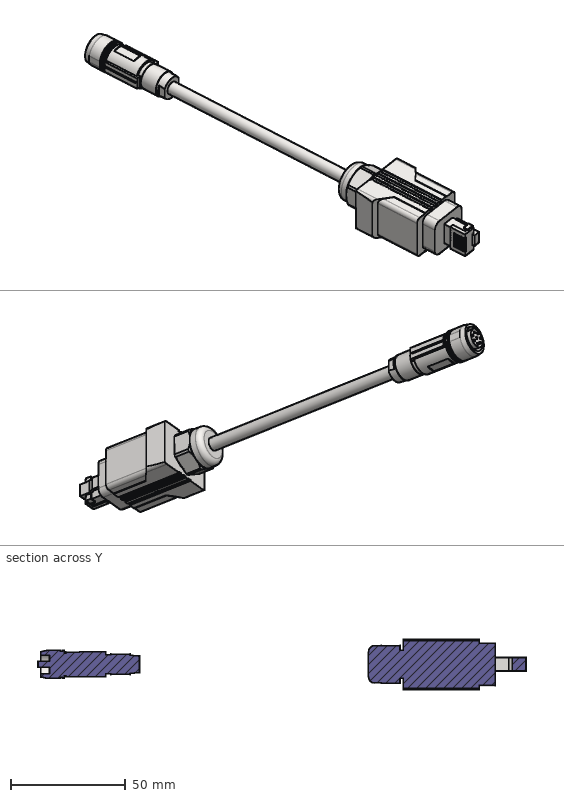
import cadquery as cq
import math

OVERLAP = 0.5

NOSE_RADIUS = 4.3
NOSE_LENGTH = 1.2
NOSE_GAP_RADIUS = 5.65
NOSE_GAP_END = 5.0
RING_START_RADIUS = 6.9
RING_RADIUS = 7.4
RING_TAPER_END = 3.8
RING_END = 9.8
RING_FLAT_OFFSET = 7.2
RING_FLAT_START = RING_TAPER_END
RING_FLAT_END = RING_END
RING_GROOVE_RADIUS = 7.1
SHOULDER_START = 10.7
SHOULDER_END = 11.6
GAP_RADIUS = 6.5
SLEEVE_START = 12.3
SLEEVE_END = 29.7
SLEEVE_RADIUS = 6.85
NECK_RADIUS = 5.9
COLLAR_START = 31.9
COLLAR_RADIUS = 6.1
TAIL_START = 40.3
TAIL_START_RADIUS = 5.8
TAIL_END_RADIUS = 5.5
CONNECTOR_END = 44.5

RIB_START = 12.7
RIB_END = 30.9
RIB_REACH = 7.35
RIB_WIDTH = 5.8
RIB_SLIT_WIDTH = 0.4
RIB_SLIT_DEPTH = 0.4
RIB_SLIT_END = 30.0
LABEL_START = 14.0
LABEL_END = 25.0
LABEL_WIDTH = 4.6
TAIL_FLAT_START = 41.3
TAIL_FLAT_OFFSET = 4.95

CONTACT_COUNT = 7
CONTACT_CIRCLE_RADIUS = 2.75
CONTACT_DIAMETER = 1.0
CONTACT_DEPTH = 5.0

CABLE_RADIUS = 3.05
GLAND_START = 144.3
GLAND_RADIUS = 9.2
GLAND_ROUNDING = 2.7
NUT_START = 150.0
NUT_END = 158.3
NUT_ACROSS_FLATS = 18.5
NUT_CLIP_RADIUS = 10.35
NUT_CHAMFER = 0.8
GLAND_NECK_RADIUS = 7.5

HOUSING_START = 159.6
HOUSING_END = 192.9
COVER_HEIGHT = 22.0
COVER_HALF_WIDTH_START = 14.4
COVER_HALF_WIDTH = 30.01 / 2
WING_PEAK = 169.4
WING_END = 175.4
SPINE_HALF_WIDTH = 7.4
COVER_ROUNDING = 1.8
BODY_HALF_WIDTH = 13.1
BODY_HEIGHT = 21.4
BODY_ROUNDING = 2.0
GRIP_GROOVE_WIDTH = 1.7
GRIP_GROOVE_PITCH = 3.3
GRIP_GROOVE_DEPTH = 0.5
FRONT_COLLAR_END = 199.9
FRONT_COLLAR_SIZE = 18.6
FRONT_COLLAR_ROUNDING = 3.2

PLUG_HALF_WIDTH = 5.4
PLUG_HALF_DEPTH = 2.9
SHELL_START = 203.7
SHELL_END = 212.1
SHELL_HALF_WIDTH = 6.15
SHELL_BOTTOM = -3.5
SHELL_FLOOR_TOP = -1.6
SHELL_WALL_START = 210.8
SHELL_WALL_TOP = 2.6
BLOCK_START = 208.2
BLOCK_BOTTOM = 0.3
BLOCK_TOP = 3.8
BLOCK_HALF_WIDTH = 5.8
LATCH_HALF_WIDTH = 3.0
LATCH_TOP = 6.1
LATCH_THICKNESS = 1.3
LATCH_BEND_START = 205.6
LATCH_TIP_TOP = 4.8
LATCH_TIP_BOTTOM = 1.6
PLUG_END = 213.3
BLADE_COUNT = 8
BLADE_PITCH = 1.0
BLADE_SLOT_WIDTH = 0.5
BLADE_SLOT_START = 205.8
BLADE_SLOT_DEPTH = 1.0


def box(x_range, y_range, z_range):
    """Box between the given limits on each axis."""
    (x0, x1), (y0, y1), (z0, z1) = x_range, y_range, z_range
    return cq.Workplane("XY").box(x1 - x0, y1 - y0, z1 - z0, centered=False).translate((x0, y0, z0))


def around_zero(size):
    """Limits of a length centred on zero."""
    return (-size / 2, size / 2)


def cylinder(x0, x1, radius):
    """Cylinder on the X axis."""
    return cq.Workplane("YZ", origin=(x0, 0, 0)).circle(radius).extrude(x1 - x0)


def prism_along_z(points, half_width):
    """Outline in X and Y, extruded evenly to both sides of Z = 0."""
    return cq.Workplane("XY").polyline(points).close().extrude(half_width, both=True)


def connector_body():
    profile = [
        (0, 0),
        (0, NOSE_RADIUS),
        (NOSE_GAP_END, NOSE_RADIUS),
        (NOSE_GAP_END, NOSE_GAP_RADIUS),
        (NOSE_LENGTH, NOSE_GAP_RADIUS),
        (NOSE_LENGTH, RING_START_RADIUS),
        (RING_TAPER_END, RING_RADIUS),
        (RING_END, RING_RADIUS),
        (RING_END, RING_GROOVE_RADIUS),
        (SHOULDER_START, RING_GROOVE_RADIUS),
        (SHOULDER_START, RING_RADIUS),
        (SHOULDER_END, RING_RADIUS),
        (SHOULDER_END, GAP_RADIUS),
        (SLEEVE_START, GAP_RADIUS),
        (SLEEVE_START, SLEEVE_RADIUS),
        (SLEEVE_END, SLEEVE_RADIUS),
        (SLEEVE_END, NECK_RADIUS),
        (COLLAR_START, NECK_RADIUS),
        (COLLAR_START, COLLAR_RADIUS),
        (TAIL_START, COLLAR_RADIUS),
        (TAIL_START, TAIL_START_RADIUS),
        (CONNECTOR_END, TAIL_END_RADIUS),
        (CONNECTOR_END, 0),
    ]
    return cq.Workplane("XY").polyline(profile).close().revolve(360, (0, 0, 0), (1, 0, 0))


def contact_holes():
    """One central contact hole and a circle of holes around it."""
    face = cq.Workplane("YZ")
    centre = face.circle(CONTACT_DIAMETER / 2).extrude(CONTACT_DEPTH)
    circle = face.polarArray(CONTACT_CIRCLE_RADIUS, 0, 360, CONTACT_COUNT)
    return circle.circle(CONTACT_DIAMETER / 2).extrude(CONTACT_DEPTH).union(centre)


def flat_cutter(x0, x1, offset, width):
    """Pair of blocks that leave flats at Y = +offset and Y = -offset."""
    right = box((x0, x1), (offset, 2 * offset), around_zero(width))
    return right.union(right.mirror("XZ"))


def sleeve_ribs():
    """Side ribs of the sleeve, each with a slit along its middle."""
    ribs = box((RIB_START, RIB_END), around_zero(2 * RIB_REACH), around_zero(RIB_WIDTH))
    slit_floor = RIB_REACH - RIB_SLIT_DEPTH
    return ribs.cut(flat_cutter(RIB_START, RIB_SLIT_END, slit_floor, RIB_SLIT_WIDTH))


def round_connector():
    label_offset = math.sqrt(SLEEVE_RADIUS ** 2 - (LABEL_WIDTH / 2) ** 2)
    label_flats = flat_cutter(LABEL_START, LABEL_END, label_offset, 2 * SLEEVE_RADIUS)
    label_flats = label_flats.rotate((0, 0, 0), (1, 0, 0), 90)
    ring_flats = flat_cutter(RING_FLAT_START, RING_FLAT_END, RING_FLAT_OFFSET, 2 * RING_RADIUS)
    tail_flats = flat_cutter(TAIL_FLAT_START, CONNECTOR_END, TAIL_FLAT_OFFSET, 2 * COLLAR_RADIUS)
    body = connector_body().cut(label_flats).cut(ring_flats).cut(tail_flats)
    return body.union(sleeve_ribs()).cut(contact_holes())


def cable_gland():
    dome = cylinder(GLAND_START, NUT_START + OVERLAP, GLAND_RADIUS)
    dome = dome.faces("<X").edges().fillet(GLAND_ROUNDING)
    corner_diameter = NUT_ACROSS_FLATS / math.cos(math.pi / 6)
    nut = cq.Workplane("YZ", origin=(NUT_START, 0, 0)).polygon(6, corner_diameter)
    nut = nut.extrude(NUT_END - NUT_START).rotate((0, 0, 0), (1, 0, 0), 90)
    clip = cylinder(NUT_START, NUT_END, NUT_CLIP_RADIUS).faces("<X").chamfer(NUT_CHAMFER)
    neck = cylinder(NUT_END - OVERLAP, HOUSING_START + OVERLAP, GLAND_NECK_RADIUS)
    return dome.union(nut.intersect(clip)).union(neck)


def housing_cover():
    """Winged cover: wide at the gland end, narrowing to a spine."""
    side = [
        (HOUSING_START, COVER_HALF_WIDTH_START),
        (WING_PEAK, COVER_HALF_WIDTH),
        (WING_END, SPINE_HALF_WIDTH),
        (HOUSING_END, SPINE_HALF_WIDTH),
    ]
    other_side = [(x, -y) for x, y in reversed(side)]
    outline = prism_along_z(side + other_side, COVER_HEIGHT / 2)
    length = HOUSING_END - HOUSING_START
    envelope = cq.Workplane("YZ", origin=(HOUSING_START, 0, 0)).rect(2 * COVER_HALF_WIDTH, COVER_HEIGHT)
    envelope = envelope.extrude(length).edges("|X").fillet(COVER_ROUNDING)
    return outline.intersect(envelope)


def housing():
    start = cq.Workplane("YZ", origin=(HOUSING_START, 0, 0))
    body = start.rect(2 * BODY_HALF_WIDTH, BODY_HEIGHT).extrude(HOUSING_END - HOUSING_START)
    body = body.edges("|X").fillet(BODY_ROUNDING).union(housing_cover())
    for index in (-1, 0, 1):
        centre = index * GRIP_GROOVE_PITCH
        y_range = (centre - GRIP_GROOVE_WIDTH / 2, centre + GRIP_GROOVE_WIDTH / 2)
        top = COVER_HEIGHT / 2
        groove = box((HOUSING_START, HOUSING_END), y_range, (top - GRIP_GROOVE_DEPTH, top))
        body = body.cut(groove).cut(groove.mirror("XY"))
    collar = cq.Workplane("YZ", origin=(HOUSING_END - OVERLAP, 0, 0))
    collar = collar.rect(FRONT_COLLAR_SIZE, FRONT_COLLAR_SIZE)
    collar = collar.extrude(FRONT_COLLAR_END - HOUSING_END + OVERLAP)
    return body.union(collar.edges("|X").fillet(FRONT_COLLAR_ROUNDING))


def plug_latch():
    root = FRONT_COLLAR_END - OVERLAP
    outline = [
        (root, LATCH_TOP),
        (LATCH_BEND_START, LATCH_TOP),
        (BLOCK_START, LATCH_TIP_TOP),
        (PLUG_END, LATCH_TIP_TOP),
        (PLUG_END, LATCH_TIP_BOTTOM),
        (BLOCK_START, LATCH_TIP_BOTTOM),
        (BLOCK_START, LATCH_TIP_TOP - LATCH_THICKNESS),
        (LATCH_BEND_START, LATCH_TOP - LATCH_THICKNESS),
        (root, LATCH_TOP - LATCH_THICKNESS),
    ]
    return prism_along_z(outline, LATCH_HALF_WIDTH)


def plug_shell():
    outline = [
        (SHELL_START, SHELL_BOTTOM),
        (SHELL_END, SHELL_BOTTOM),
        (SHELL_END, SHELL_WALL_TOP),
        (SHELL_WALL_START, SHELL_WALL_TOP),
        (SHELL_WALL_START, SHELL_FLOOR_TOP),
        (SHELL_START, SHELL_FLOOR_TOP),
    ]
    return prism_along_z(outline, SHELL_HALF_WIDTH)


def plug():
    core = box(
        (FRONT_COLLAR_END - OVERLAP, SHELL_WALL_START),
        around_zero(2 * PLUG_HALF_DEPTH),
        around_zero(2 * PLUG_HALF_WIDTH),
    )
    block = box(
        (BLOCK_START, SHELL_WALL_START),
        (BLOCK_BOTTOM, BLOCK_TOP),
        around_zero(2 * BLOCK_HALF_WIDTH),
    )
    body = core.union(block).union(plug_shell()).union(plug_latch())
    for index in range(BLADE_COUNT):
        centre = (index - (BLADE_COUNT - 1) / 2) * BLADE_PITCH
        slot = box(
            (BLADE_SLOT_START, SHELL_END),
            (SHELL_BOTTOM, SHELL_BOTTOM + BLADE_SLOT_DEPTH),
            (centre - BLADE_SLOT_WIDTH / 2, centre + BLADE_SLOT_WIDTH / 2),
        )
        body = body.cut(slot)
    return body


cable = cylinder(CONNECTOR_END - OVERLAP, GLAND_START + OVERLAP, CABLE_RADIUS)
result = round_connector().union(cable).union(cable_gland()).union(housing()).union(plug())